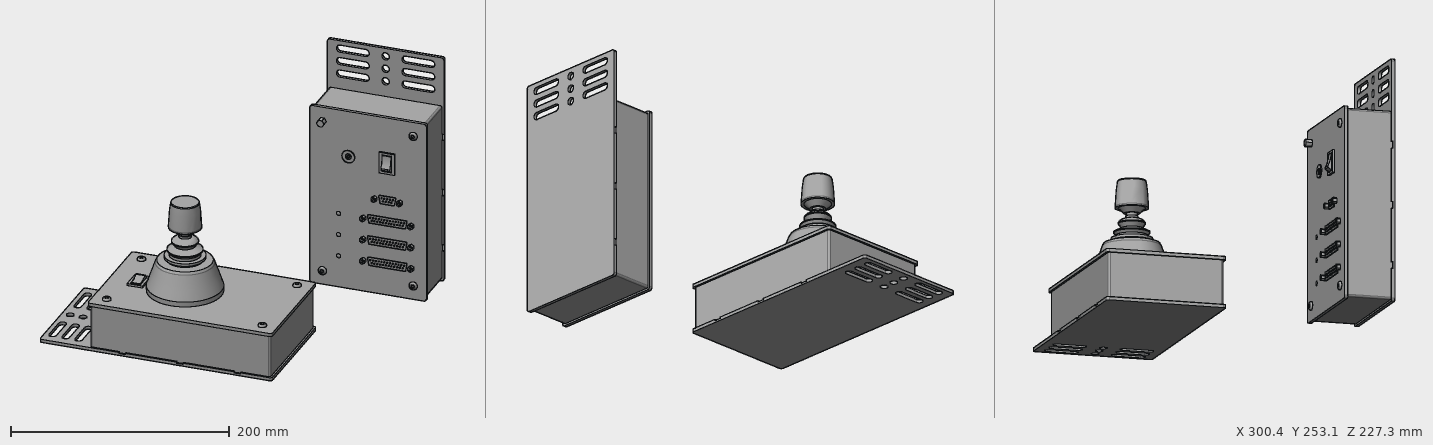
import cadquery as cq
import math


TOTAL_X = 300.43
TOTAL_Y = 253.11

BASE_LENGTH = 227.33
WIDTH = 114.3
FLANGE_LENGTH = 46.99
LID_LENGTH = BASE_LENGTH - FLANGE_LENGTH
PLATE_THICKNESS = 3.175
PLATE_CORNER_RADIUS = 2.54
HEIGHT = 48.26
BOX_INSET = 1.905
BOX_CORNER_RADIUS = 1.905
LID_CENTER_X = FLANGE_LENGTH + LID_LENGTH / 2
CENTER_Y = WIDTH / 2

SLOT_WIDTH = 7.14
SLOT_LENGTH = 32.0
SLOT_OFFSET_Y = 32.1
SLOT_PITCH_X = 12.7
FIRST_SLOT_X = 8.13
SLOT_ROWS = 3

NOTCH_LENGTH = 6.35
NOTCH_DEPTH = 1.2
NOTCH_PITCH = 56.4

SCREW_SPACING_X = 152.4
SCREW_SPACING_Y = 88.9
SCREW_HEAD_DIAMETER = 7.92
SCREW_HEAD_HEIGHT = 2.2
SCREW_HEAD_TOP_DIAMETER = 5.0
SCREW_SHOULDER_RADIUS = 3.63
SCREW_SHOULDER_HEIGHT = 1.54
SCREW_SOCKET_DIAMETER = 3.0
SCREW_SOCKET_DEPTH = 1.4

BEZEL_LENGTH = 21.0
BEZEL_WIDTH = 15.0
BEZEL_HEIGHT = 2.0
ROCKER_LENGTH = 16.0
ROCKER_WIDTH = 8.7
ROCKER_LOW_HEIGHT = 2.6
ROCKER_TIP_HEIGHT = 5.4
ROCKER_TIP_OFFSET = 4.0
ROCKER_TIP_FLAT = 1.5
ROCKER_SAG = 0.8
ROCKER_CLEARANCE = 0.4

STICK_X = 120.65
STICK_SWITCH_X = 75.4
HOUSING_DIAMETER = 71.12
HOUSING_TOP_DIAMETER = 51.82
BELLOWS_DIAMETER = 33.25
STEM_DIAMETER = 10.44

STANDOFF_ACROSS_CORNERS = 7.33
STANDOFF_HEIGHT = 6.2
POWER_ROW_X = FLANGE_LENGTH + 45.72
JACK_Y = WIDTH / 3
CONNECTOR_Y = WIDTH * 2 / 3
JACK_DIAMETER = 12.47
JACK_HEIGHT = 1.0
JACK_SOCKET_DIAMETER = 5.46
JACK_PIN_DIAMETER = 2.23
LAMP_Y = 28.4
LAMP_DIAMETER = 4.2
LAMP_HEIGHT = 0.6

CONNECTOR_FIRST_X = 130.9
CONNECTOR_PITCH = 21.59
SHELL_DEPTH = 8.36
SHELL_HEIGHT = 1.0
SHELL_SLANT = 10.0
SHELL_CORNER_RADIUS = 1.0
CONTACT_PITCH = 2.77
CONTACT_ROW_GAP = 2.84
CONTACT_DIAMETER = 1.12
CONTACT_DEPTH = 0.8
JACKSCREW_ACROSS_CORNERS = 5.46
JACKSCREW_HEIGHT = 3.7
JACKSCREW_BORE = 2.23
JACKSCREW_BORE_DEPTH = 3.0
NINE_WAY = {"contacts": 9, "shell_width": 16.92, "screw_spacing": 24.99}
TWENTY_FIVE_WAY = {"contacts": 25, "shell_width": 38.96, "screw_spacing": 47.04}


def cylinder(x, y, z, diameter, height):
    """Upright cylinder standing on height z."""
    return cq.Workplane("XY", origin=(x, y, z)).circle(diameter / 2).extrude(height)


def hexagon(x, y, z, across_corners, height, turn=0):
    """Upright hexagonal post on height z, with a corner towards X before it is turned."""
    post = cq.Workplane("XY").polygon(6, across_corners).extrude(height)
    return post.rotate((0, 0, 0), (0, 0, 1), turn).translate((x, y, z))


def plate(length, center_x, bottom_z):
    """Full-width plate with rounded corners."""
    block = cq.Workplane("XY", origin=(center_x, CENTER_Y, bottom_z))
    block = block.rect(length, WIDTH).extrude(PLATE_THICKNESS)
    return block.edges("|Z").fillet(PLATE_CORNER_RADIUS)


def base_plate():
    """Base plate with the flange slots and the edge notches."""
    base = plate(BASE_LENGTH, BASE_LENGTH / 2, 0)
    for row in range(SLOT_ROWS):
        x = FIRST_SLOT_X + row * SLOT_PITCH_X
        base = base.cut(cylinder(x, CENTER_Y, 0, SLOT_WIDTH, PLATE_THICKNESS))
        slots = cq.Workplane("XY", origin=(x, CENTER_Y, 0))
        slots = slots.pushPoints([(0, -SLOT_OFFSET_Y), (0, SLOT_OFFSET_Y)])
        base = base.cut(slots.slot2D(SLOT_LENGTH, SLOT_WIDTH, 90).extrude(PLATE_THICKNESS))
    for step in (-1, 0, 1):
        for y in (BOX_INSET / 2, WIDTH - BOX_INSET / 2):
            notch = cq.Workplane("XY", origin=(LID_CENTER_X + step * NOTCH_PITCH, y, PLATE_THICKNESS))
            base = base.cut(notch.rect(NOTCH_LENGTH, BOX_INSET).extrude(-NOTCH_DEPTH))
    return base


def enclosure():
    """Base plate, box and lid joined into one solid."""
    box = cq.Workplane("XY", origin=(LID_CENTER_X, CENTER_Y, PLATE_THICKNESS))
    box = box.rect(LID_LENGTH - 2 * BOX_INSET, WIDTH - 2 * BOX_INSET)
    box = box.extrude(HEIGHT - 2 * PLATE_THICKNESS)
    box = box.edges("|Z").fillet(BOX_CORNER_RADIUS)
    lid = plate(LID_LENGTH, LID_CENTER_X, HEIGHT - PLATE_THICKNESS)
    return base_plate().union(box).union(lid)


def lid_corner(side_x, side_y):
    """Centre of a lid screw; each side is -1 or 1."""
    return (LID_CENTER_X + side_x * SCREW_SPACING_X / 2, CENTER_Y + side_y * SCREW_SPACING_Y / 2)


def screw_head(x, y):
    """Button head with a round socket."""
    radius = SCREW_HEAD_DIAMETER / 2
    top_radius = SCREW_HEAD_TOP_DIAMETER / 2
    shoulder = (SCREW_SHOULDER_RADIUS, SCREW_SHOULDER_HEIGHT)
    profile = cq.Workplane("XZ").lineTo(radius, 0)
    profile = profile.threePointArc(shoulder, (top_radius, SCREW_HEAD_HEIGHT))
    head = profile.lineTo(0, SCREW_HEAD_HEIGHT).close().revolve(360, (0, 0), (0, 1))
    socket = cylinder(0, 0, SCREW_HEAD_HEIGHT, SCREW_SOCKET_DIAMETER, -SCREW_SOCKET_DEPTH)
    return head.cut(socket).translate((x, y, HEIGHT))


def lamp(x, y):
    """Low domed lamp lens."""
    radius = LAMP_DIAMETER / 2
    sphere_radius = (radius**2 + LAMP_HEIGHT**2) / (2 * LAMP_HEIGHT)
    half_angle = math.asin(radius / sphere_radius) / 2
    middle = (
        sphere_radius * math.sin(half_angle),
        LAMP_HEIGHT - sphere_radius * (1 - math.cos(half_angle)),
    )
    profile = cq.Workplane("XZ").lineTo(radius, 0).threePointArc(middle, (0, LAMP_HEIGHT)).close()
    return profile.revolve(360, (0, 0), (0, 1)).translate((x, y, HEIGHT))


def rocker_switch():
    """Bezel and concave rocker centred on the origin, the raised end towards +Y."""
    bezel = cq.Workplane("XY").rect(BEZEL_WIDTH, BEZEL_LENGTH).extrude(BEZEL_HEIGHT)
    opening = cq.Workplane("XY").rect(
        ROCKER_WIDTH + 2 * ROCKER_CLEARANCE, ROCKER_LENGTH + 2 * ROCKER_CLEARANCE
    )
    bezel = bezel.cut(opening.extrude(BEZEL_HEIGHT))
    end = ROCKER_LENGTH / 2
    middle_y = (ROCKER_TIP_OFFSET - end) / 2
    middle_z = (ROCKER_LOW_HEIGHT + ROCKER_TIP_HEIGHT) / 2 - ROCKER_SAG
    rocker = (
        cq.Workplane("YZ", origin=(-ROCKER_WIDTH / 2, 0, 0))
        .moveTo(-end, 0)
        .lineTo(-end, ROCKER_LOW_HEIGHT)
        .threePointArc((middle_y, middle_z), (ROCKER_TIP_OFFSET, ROCKER_TIP_HEIGHT))
        .line(ROCKER_TIP_FLAT, 0)
        .lineTo(end, BEZEL_HEIGHT)
        .lineTo(end, 0)
        .close()
        .extrude(ROCKER_WIDTH)
    )
    return bezel.union(rocker)


def stick():
    """Turned joystick: conical housing, bellows, stem and tapered knob, standing on z = 0."""
    profile = (
        cq.Workplane("XZ")
        .lineTo(HOUSING_DIAMETER / 2, 0)
        .lineTo(HOUSING_DIAMETER / 2, 4.85)
        .lineTo(27.3, 28.4)
        .lineTo(HOUSING_TOP_DIAMETER / 2, 30.9)
        .lineTo(BELLOWS_DIAMETER / 2, 30.9)
        .lineTo(BELLOWS_DIAMETER / 2, 33.3)
        .lineTo(19.2, 33.3)
        .lineTo(19.2, 35.8)
        .lineTo(14.6, 35.8)
        .lineTo(14.6, 38.6)
        .lineTo(BELLOWS_DIAMETER / 2, 41.0)
        .lineTo(BELLOWS_DIAMETER / 2, 42.0)
        .lineTo(9.6, 45.4)
        .lineTo(12.6, 49.4)
        .lineTo(12.6, 50.4)
        .threePointArc((9.8, 53.2), (5.8, 54.4))
        .lineTo(5.8, 56.7)
        .lineTo(STEM_DIAMETER / 2, 56.7)
        .lineTo(STEM_DIAMETER / 2, 59.3)
        .lineTo(7.3, 59.3)
        .lineTo(12.6, 64.1)
        .lineTo(15.4, 64.1)
        .lineTo(15.4, 65.5)
        .threePointArc((14.8, 77.0), (13.3, 88.8))
        .lineTo(12.8, 89.8)
        .lineTo(0, 89.8)
        .close()
    )
    return profile.revolve(360, (0, 0), (0, 1))


def dsub_connector(x, y, contacts, shell_width, screw_spacing):
    """D-sub connector whose long side runs along Y, with two rows of contacts."""
    slant = SHELL_DEPTH * math.tan(math.radians(SHELL_SLANT))
    half = shell_width / 2
    shell = cq.Workplane("XY").polyline(
        [
            (-SHELL_DEPTH / 2, -half),
            (-SHELL_DEPTH / 2, half),
            (SHELL_DEPTH / 2, half - slant),
            (SHELL_DEPTH / 2, slant - half),
        ]
    )
    shell = shell.close().extrude(SHELL_HEIGHT).edges("|Z").fillet(SHELL_CORNER_RADIUS)
    long_row = (contacts + 1) // 2
    for row_x, count in ((-CONTACT_ROW_GAP / 2, long_row), (CONTACT_ROW_GAP / 2, long_row - 1)):
        row = cq.Workplane("XY", origin=(row_x, 0, SHELL_HEIGHT))
        row = row.rarray(1, CONTACT_PITCH, 1, count).circle(CONTACT_DIAMETER / 2)
        shell = shell.cut(row.extrude(-CONTACT_DEPTH))
    for side in (-1, 1):
        screw_y = side * screw_spacing / 2
        shell = shell.union(hexagon(0, screw_y, 0, JACKSCREW_ACROSS_CORNERS, JACKSCREW_HEIGHT))
        bore = cylinder(0, screw_y, JACKSCREW_HEIGHT, JACKSCREW_BORE, -JACKSCREW_BORE_DEPTH)
        shell = shell.cut(bore)
    return shell.translate((x, y, HEIGHT))


def joystick_unit():
    """Enclosure with four screws, a rocker switch and the joystick."""
    unit = enclosure()
    for side_x in (-1, 1):
        for side_y in (-1, 1):
            unit = unit.union(screw_head(*lid_corner(side_x, side_y)))
    unit = unit.union(rocker_switch().translate((STICK_SWITCH_X, CENTER_Y, HEIGHT)))
    return unit.union(stick().translate((STICK_X, CENTER_Y, HEIGHT)))


def control_box():
    """Enclosure with three screws, a hexagonal post, power inlet, connectors and lamps."""
    box = enclosure()
    for side_x, side_y in ((-1, 1), (1, -1), (1, 1)):
        box = box.union(screw_head(*lid_corner(side_x, side_y)))
    box = box.union(hexagon(*lid_corner(-1, -1), HEIGHT, STANDOFF_ACROSS_CORNERS, STANDOFF_HEIGHT, 90))

    switch = rocker_switch().rotate((0, 0, 0), (0, 0, 1), -90)
    box = box.union(switch.translate((POWER_ROW_X, CONNECTOR_Y, HEIGHT)))
    jack = cylinder(POWER_ROW_X, JACK_Y, HEIGHT, JACK_DIAMETER, JACK_HEIGHT)
    jack = jack.cut(cylinder(POWER_ROW_X, JACK_Y, HEIGHT, JACK_SOCKET_DIAMETER, JACK_HEIGHT))
    jack = jack.union(cylinder(POWER_ROW_X, JACK_Y, HEIGHT, JACK_PIN_DIAMETER, JACK_HEIGHT))
    box = box.union(jack)

    box = box.union(dsub_connector(CONNECTOR_FIRST_X, CONNECTOR_Y, **NINE_WAY))
    for place in (1, 2, 3):
        x = CONNECTOR_FIRST_X + place * CONNECTOR_PITCH
        box = box.union(dsub_connector(x, CONNECTOR_Y, **TWENTY_FIVE_WAY))
        box = box.union(lamp(x, LAMP_Y))
    return box


UPRIGHT = cq.Plane(
    origin=(TOTAL_X - WIDTH, TOTAL_Y, BASE_LENGTH), xDir=(0, 0, -1), normal=(0, -1, 0)
)

joystick = joystick_unit()
control = control_box().val().moved(cq.Location(UPRIGHT))

result = cq.Compound.makeCompound([joystick.val(), control])